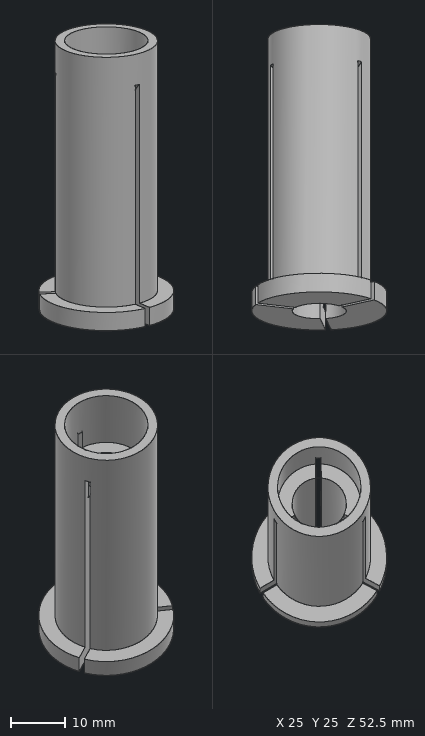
import cadquery as cq

total_height = 52.5
flange_diameter = 25.0
flange_height = 3.6
sleeve_diameter = 19.0
socket_diameter = 15.4
socket_depth = 12.0
bore_diameter = 10.0

slot_count = 3
first_slot_angle = 90.0
slot_width = 1.0
saw_radius = 25.0
saw_center_offset = 27.0
saw_center_height = 28.6

socket_floor = total_height - socket_depth
slot_angle_step = 360 / slot_count


def cylinder(diameter, bottom, top):
    """Vertical cylinder on the Z axis between two heights."""
    return cq.Workplane("XY").workplane(offset=bottom).circle(diameter / 2).extrude(top - bottom)


def flanged_sleeve():
    """Sleeve with a base flange, a wide socket in the top and a narrow bore below it."""
    body = cylinder(flange_diameter, 0, flange_height)
    body = body.union(cylinder(sleeve_diameter, 0, total_height))
    body = body.cut(cylinder(bore_diameter, 0, total_height))
    return body.cut(cylinder(socket_diameter, socket_floor, total_height))


def saw_slot(angle):
    """Radial slot open at the base: a straight run below the saw center and a round end above it."""
    saw_plane = cq.Workplane("XZ")
    round_end = (
        saw_plane.center(saw_center_offset, saw_center_height)
        .circle(saw_radius)
        .extrude(slot_width / 2, both=True)
    )
    straight_run = (
        saw_plane.center(saw_center_offset, saw_center_height / 2)
        .rect(2 * saw_radius, saw_center_height)
        .extrude(slot_width / 2, both=True)
    )
    slot = round_end.union(straight_run)
    return slot.rotate((0, 0, 0), (0, 0, 1), angle)


result = flanged_sleeve()
for index in range(slot_count):
    result = result.cut(saw_slot(first_slot_angle + index * slot_angle_step))